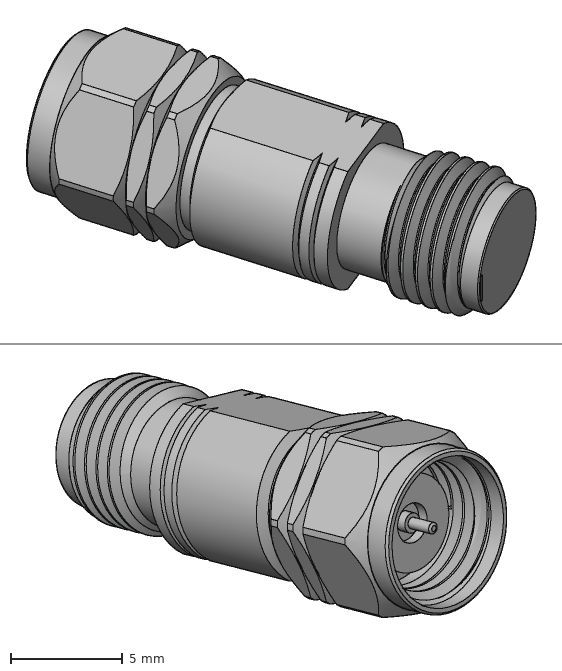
import cadquery as cq


NOSE_END = 1.23
NUT_END = 7.55
BODY_START = 8.05
BODY_END = 15.18
TUBE_END = 22.28

NOSE_RADIUS = 7.65 / 2
NOSE_CHAMFER = 0.11
NUT_FLATS = 7.93
NUT_CORNER_RADIUS = 8.98 / 2
NUT_CHAMFER_RADIUS = 3.85
NUT_CHAMFER_LENGTH = 0.78
NUT_GROOVES = (5.05, 6.05)
NUT_GROOVE_BOTTOM = 3.91
NUT_GROOVE_WIDTH = 0.65

NECK_RADIUS = 6.88 / 2
BODY_RADIUS = 7.9 / 2
BODY_FLATS = 6.97
BODY_CHAMFER_LENGTH = 0.25
BODY_GROOVES = ((13.59, 0.31), (14.37, 0.25))
BODY_GROOVE_BOTTOM = 3.69

TUBE_RADIUS = 5.97 / 2
TUBE_CHAMFER = 0.07
THREAD_RADIUS = 7.0 / 2
THREAD_PITCH = 0.74
THREAD_CREST = 0.11
THREAD_ROOT_WIDTH = 0.67
THREAD_START = 17.39
THREAD_END = 21.37
CREST_POSITION = 18.3
TAPER_MARGIN = 0.22
THREAD_SINK = 0.02

TAB_HEIGHT = 0.07
TAB_DEPTH = 0.13
TAB_LENGTH = 1.48
TAB_Y = -2.82

RELIEF_END = 0.8
RELIEF_RADIUS = 7.0 / 2
BORE_CHAMFER_LENGTH = RELIEF_RADIUS - TUBE_RADIUS
BORE_END = 3.58
BORE_GROOVE_START = 0.55
BORE_GROOVE_LENGTH = 3.5 * THREAD_PITCH
BORE_GROOVE_RADIUS = 3.45

BOSS_RADIUS = 4.58 / 2
BOSS_FACE = 2.28
RECESS_RADIUS = 1.85 / 2
RECESS_DEPTH = 0.54
COLLAR_RADIUS = 0.94 / 2
PIN_RADIUS = 0.54 / 2
PIN_TIP_RADIUS = 0.13
PIN_TIP_LENGTH = 0.07
PIN_START = 0.9


def revolve(points):
    """Solid of revolution about X from (x, radius) points."""
    return cq.Workplane("XY").polyline(points).close().revolve(360, (0, 0, 0), (1, 0, 0))


def cylinder(start, end, radius):
    return cq.Workplane("YZ").workplane(offset=start).circle(radius).extrude(end - start)


def v_groove(position, width, rim_radius, bottom_radius):
    """Ring with a V section, its open side at rim_radius and its point at bottom_radius."""
    half = width / 2
    return revolve([
        (position - half, rim_radius),
        (position, bottom_radius),
        (position + half, rim_radius),
    ])


def make_nut():
    hexagon = (
        cq.Workplane("YZ")
        .workplane(offset=NOSE_END)
        .polygon(6, NUT_FLATS, circumscribed=True)
        .extrude(NUT_END - NOSE_END)
        .rotate((0, 0, 0), (1, 0, 0), 90)
    )
    envelope = revolve([
        (NOSE_END, 0),
        (NOSE_END, NUT_CHAMFER_RADIUS),
        (NOSE_END + NUT_CHAMFER_LENGTH, NUT_CORNER_RADIUS),
        (NUT_END - NUT_CHAMFER_LENGTH, NUT_CORNER_RADIUS),
        (NUT_END, NUT_CHAMFER_RADIUS),
        (NUT_END, 0),
    ])
    nut = hexagon.intersect(envelope)
    for position in NUT_GROOVES:
        nut = nut.cut(v_groove(position, NUT_GROOVE_WIDTH, NUT_CORNER_RADIUS, NUT_GROOVE_BOTTOM))
    nose = cylinder(0, NOSE_END, NOSE_RADIUS).faces("<X").chamfer(NOSE_CHAMFER)
    return nut.union(nose)


def make_body():
    body = revolve([
        (BODY_START, 0),
        (BODY_START, NECK_RADIUS),
        (BODY_START + BODY_CHAMFER_LENGTH, BODY_RADIUS),
        (BODY_END, BODY_RADIUS),
        (BODY_END, 0),
    ])
    slab = cq.Workplane("XY").box(2 * BODY_END, 2 * BODY_RADIUS, BODY_FLATS)
    body = body.intersect(slab)
    for position, width in BODY_GROOVES:
        body = body.cut(v_groove(position, width, BODY_RADIUS, BODY_GROOVE_BOTTOM))
    return body.union(cylinder(NUT_END, BODY_START, NECK_RADIUS))


def helical_ridge(start, length, crest_radius):
    """Right-handed ridge winding forward from the +Y side, its foot sunk into the tube radius."""
    foot = TUBE_RADIUS - THREAD_SINK
    flank = (THREAD_ROOT_WIDTH - THREAD_CREST) / 2 / (THREAD_RADIUS - TUBE_RADIUS)
    crest_half = THREAD_CREST / 2
    foot_half = crest_half + flank * (crest_radius - foot)
    path = cq.Wire.makeHelix(THREAD_PITCH, length, foot)
    return (
        cq.Workplane("XZ")
        .polyline([
            (foot, -foot_half),
            (crest_radius, -crest_half),
            (crest_radius, crest_half),
            (foot, foot_half),
        ])
        .close()
        .sweep(cq.Workplane(path), isFrenet=True)
        .rotate((0, 0, 0), (0, 0, 1), 90)
        .rotate((0, 0, 0), (0, 1, 0), 90)
        .translate((start, 0, 0))
    )


def make_thread():
    """Outer thread, tapered to nothing at both ends."""
    start = CREST_POSITION - 2 * THREAD_PITCH
    ridge = helical_ridge(start, THREAD_END + THREAD_PITCH - start, THREAD_RADIUS)
    taper = THREAD_RADIUS + TAPER_MARGIN - TUBE_RADIUS
    envelope = revolve([
        (THREAD_START, 0),
        (THREAD_START, TUBE_RADIUS),
        (THREAD_START + taper, TUBE_RADIUS + taper),
        (THREAD_END - taper, TUBE_RADIUS + taper),
        (THREAD_END, TUBE_RADIUS),
        (THREAD_END, 0),
    ])
    return ridge.intersect(envelope)


def make_jack():
    tube = cylinder(BODY_END, TUBE_END, TUBE_RADIUS).faces(">X").chamfer(TUBE_CHAMFER)
    tab = (
        cq.Workplane("YZ")
        .workplane(offset=TUBE_END)
        .center(TAB_Y, 0)
        .rect(TAB_DEPTH, TAB_LENGTH)
        .extrude(TAB_HEIGHT)
    )
    return tube.union(make_thread()).union(tab)


def make_bore():
    bore = revolve([
        (0, 0),
        (0, RELIEF_RADIUS),
        (RELIEF_END, RELIEF_RADIUS),
        (RELIEF_END + BORE_CHAMFER_LENGTH, TUBE_RADIUS),
        (BORE_END, TUBE_RADIUS),
        (BORE_END, 0),
    ])
    groove = helical_ridge(BORE_GROOVE_START, BORE_GROOVE_LENGTH, BORE_GROOVE_RADIUS)
    return bore.union(groove)


def make_contact():
    recess_floor = BOSS_FACE + RECESS_DEPTH
    boss = cylinder(BOSS_FACE, BORE_END, BOSS_RADIUS)
    recess = cylinder(BOSS_FACE, recess_floor, RECESS_RADIUS)
    collar = cylinder(BOSS_FACE, recess_floor, COLLAR_RADIUS)
    pin = revolve([
        (PIN_START, 0),
        (PIN_START, PIN_TIP_RADIUS),
        (PIN_START + PIN_TIP_LENGTH, PIN_RADIUS),
        (recess_floor, PIN_RADIUS),
        (recess_floor, 0),
    ])
    return boss.cut(recess).union(collar).union(pin)


shell = make_nut().union(make_body()).union(make_jack())
result = shell.cut(make_bore()).union(make_contact())